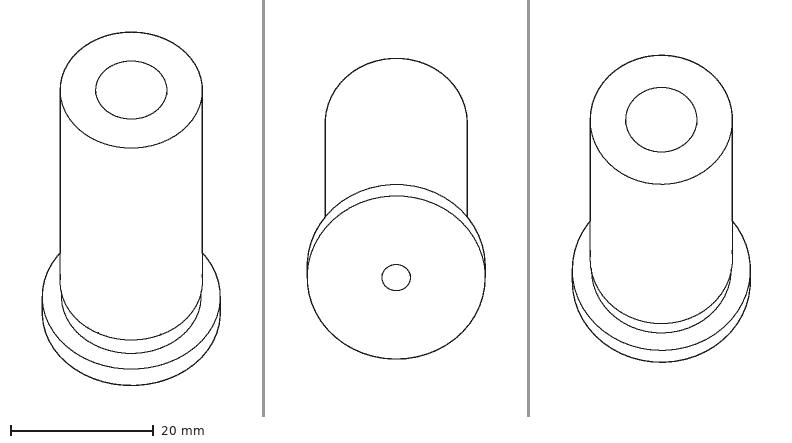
import cadquery as cq
import math

total_height = 54.0
flange_diameter = 25.0
flange_thickness = 4.0
body_diameter = 20.0

relief_diameter = 19.6
relief_height = 3.5

bore_diameter = 10.0
through_diameter = 4.0
drill_point_angle = 120.0
cone_height = (bore_diameter - through_diameter) / 2 / math.tan(math.radians(drill_point_angle / 2))
cone_bottom = 29.0
cone_top = cone_bottom + cone_height


def cylinder(diameter, bottom, top):
    """Upright cylinder on the Z axis between two heights."""
    return cq.Workplane("XY").workplane(offset=bottom).circle(diameter / 2).extrude(top - bottom)


def outer_shape():
    """Flange, relief and body stacked on the Z axis."""
    relief_top = flange_thickness + relief_height
    flange = cylinder(flange_diameter, 0, flange_thickness)
    relief = cylinder(relief_diameter, flange_thickness, relief_top)
    body = cylinder(body_diameter, relief_top, total_height)
    return flange.union(relief).union(body)


def bore():
    """Half section of the stepped bore, revolved about the Z axis."""
    bore_radius = bore_diameter / 2
    through_radius = through_diameter / 2
    return (
        cq.Workplane("XZ")
        .moveTo(0, 0)
        .lineTo(through_radius, 0)
        .lineTo(through_radius, cone_bottom)
        .lineTo(bore_radius, cone_top)
        .lineTo(bore_radius, total_height)
        .lineTo(0, total_height)
        .close()
        .revolve(360, (0, 0, 0), (0, 1, 0))
    )


result = outer_shape().cut(bore())